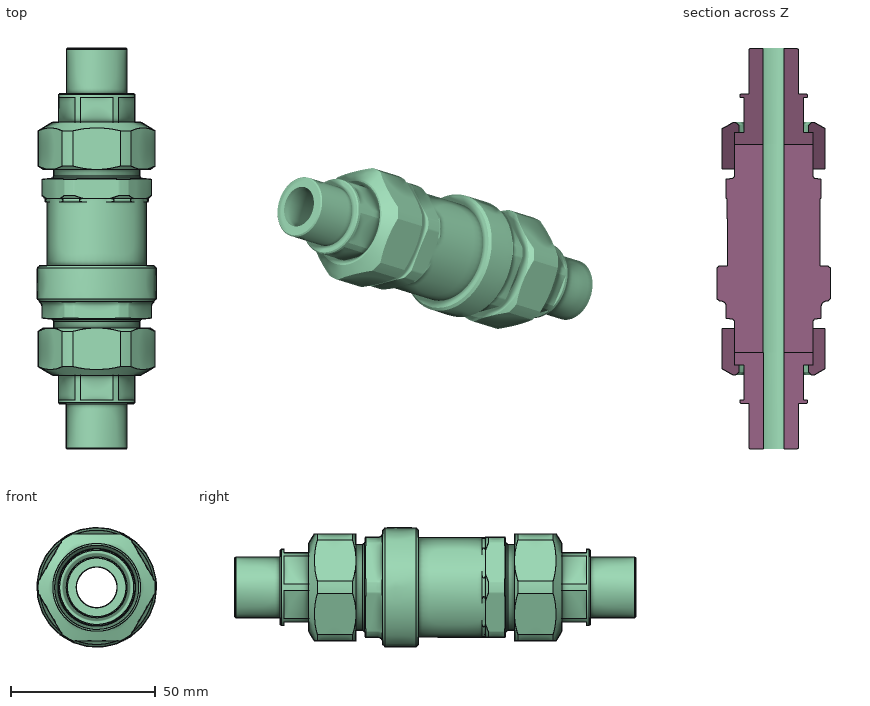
import cadquery as cq
import math

total_length = 138.5
half_length = total_length / 2
bore_diameter = 14.0

pipe_diameter = 21.0
pipe_length = 15.7
pipe_chamfer = 0.4
stub_diameter = 26.5
stub_flange_width = 1.4
stub_flange_chamfer = 0.4
stub_across_flats = 24.0
stub_head_width = 4.2

nut_length = 16.3
nut_across_flats = 37.0
nut_corner_diameter = 40.5
nut_mouth_face_diameter = 30.3
nut_mouth_cone_length = 3.0
nut_rear_face_diameter = 37.1
nut_rear_cone_length = 1.1
nut_mouth_diameter = 26.9
nut_countersink = 1.1
nut_mouth_thickness = 3.6
nut_start = 27.4
nut_end = nut_start + nut_length

barrel_diameter = 34.5
body_across_flats = 34.6
body_corner_diameter = 38.0
body_corner_fillet = 1.4
hex_corner_end = 24.0
hex_face_end = 24.4
neck_diameter = 29.8
neck_root_diameter = 30.7
neck_root_length = 0.7
hex_back = 17.3
hex_back_cone = 1.1
hex_root_length = 1.2
hex_root_height = 0.4
hex_root_across_flats = 33.8
collar_start = 5.8
collar_end = 18.1
collar_middle_diameter = 41.4
collar_rim_diameter = 41.1
collar_chamfer = 0.8
collar_trim_allowance = 1.4
collar_root_fillet = 1.7

stub_head_diameter = neck_diameter
stub_head_outer = nut_end - nut_mouth_thickness
stub_head_inner = stub_head_outer - stub_head_width
stub_flange_outer = half_length - pipe_length
stub_flange_inner = stub_flange_outer - stub_flange_width


def revolve_about_y(profile):
    """Revolve a closed (radius, y) profile about the Y axis."""
    return profile.close().revolve(360, (0, 0, 0), (0, 1, 0))


def cylinder(diameter, y_start, y_end):
    return (
        cq.Workplane("XZ", origin=(0, y_start, 0))
        .circle(diameter / 2)
        .extrude(-(y_end - y_start))
    )


def hexagon(across_flats, y_start, y_end):
    """Hexagonal prism along Y with flats facing up and down."""
    corner_diameter = across_flats / math.cos(math.pi / 6)
    return (
        cq.Workplane("XZ", origin=(0, y_start, 0))
        .polygon(6, corner_diameter)
        .extrude(-(y_end - y_start))
    )


def make_stub():
    """Pipe end with a flange, a hexagon and a head held inside the nut."""
    pipe = cylinder(pipe_diameter, stub_flange_outer, half_length).faces(">Y").chamfer(pipe_chamfer)
    flange = (
        cylinder(stub_diameter, stub_flange_inner, stub_flange_outer)
        .faces(">Y")
        .chamfer(stub_flange_chamfer)
    )
    wrench_section = hexagon(stub_across_flats, stub_head_outer, stub_flange_inner).intersect(
        cylinder(stub_diameter, stub_head_outer, stub_flange_inner)
    )
    head = cylinder(stub_head_diameter, stub_head_inner, stub_head_outer)
    bore = cylinder(bore_diameter, stub_head_inner, half_length)
    return head.union(wrench_section).union(flange).union(pipe).cut(bore)


def make_nut():
    """Hexagonal nut, coned at both ends, that holds the stub head against the body."""
    corner_radius = nut_corner_diameter / 2
    envelope = revolve_about_y(
        cq.Workplane("XY")
        .moveTo(0, nut_start)
        .lineTo(nut_rear_face_diameter / 2, nut_start)
        .lineTo(corner_radius, nut_start + nut_rear_cone_length)
        .lineTo(corner_radius, nut_end - nut_mouth_cone_length)
        .lineTo(nut_mouth_face_diameter / 2, nut_end)
        .lineTo(0, nut_end)
    )
    mouth_radius = nut_mouth_diameter / 2
    opening = revolve_about_y(
        cq.Workplane("XY")
        .moveTo(0, nut_start)
        .lineTo(neck_diameter / 2, nut_start)
        .lineTo(neck_diameter / 2, stub_head_outer)
        .lineTo(mouth_radius, stub_head_outer)
        .lineTo(mouth_radius, nut_end - nut_countersink)
        .lineTo(mouth_radius + nut_countersink, nut_end)
        .lineTo(0, nut_end)
    )
    return envelope.intersect(hexagon(nut_across_flats, nut_start, nut_end)).cut(opening)


def make_body_hexagon(y_start):
    """Prism with rounded corners and a slightly coned end face, from y_start to the neck."""
    corner_radius = body_corner_diameter / 2
    face_radius = neck_root_diameter / 2
    coned_end = revolve_about_y(
        cq.Workplane("XY")
        .moveTo(0, y_start)
        .lineTo(corner_radius, y_start)
        .lineTo(corner_radius, hex_corner_end)
        .lineTo(face_radius, hex_face_end)
        .lineTo(0, hex_face_end)
    )
    return (
        hexagon(body_across_flats, y_start, hex_face_end)
        .intersect(cylinder(body_corner_diameter, y_start, hex_face_end))
        .edges("|Y")
        .fillet(body_corner_fillet)
        .intersect(coned_end)
    )


def make_back_hexagon():
    """Hexagon on the +Y side, its back corners coned off."""
    corner_radius = body_corner_diameter / 2
    envelope = revolve_about_y(
        cq.Workplane("XY")
        .moveTo(0, hex_back)
        .lineTo(corner_radius - hex_back_cone, hex_back)
        .lineTo(corner_radius, hex_back + hex_back_cone)
        .lineTo(corner_radius, hex_face_end)
        .lineTo(0, hex_face_end)
    )
    return make_body_hexagon(hex_back).intersect(envelope)


def make_hexagon_roots():
    """Curved gussets that lead from the back corners of the hexagon down to the barrel."""
    barrel_radius = barrel_diameter / 2
    root_start = hex_back - hex_root_length
    ring = revolve_about_y(
        cq.Workplane("XY")
        .moveTo(0, root_start)
        .lineTo(barrel_radius, root_start)
        .tangentArcPoint((barrel_radius + hex_root_height, hex_back), relative=False)
        .lineTo(0, hex_back)
    )
    return ring.intersect(hexagon(hex_root_across_flats, root_start, hex_back))


def make_collar_section():
    """Collar with a bulged rim and the -Y hexagon, joined by a fillet and trimmed at both rims."""
    middle_radius = collar_middle_diameter / 2
    rim_radius = collar_rim_diameter / 2
    face_radius = rim_radius - collar_chamfer
    envelope = revolve_about_y(
        cq.Workplane("XY")
        .moveTo(0, -collar_start)
        .lineTo(face_radius, -collar_start)
        .lineTo(rim_radius, -collar_start - collar_chamfer)
        .threePointArc(
            (middle_radius, -(collar_start + collar_end) / 2),
            (rim_radius, -collar_end + collar_chamfer),
        )
        .lineTo(face_radius, -collar_end)
        .lineTo(face_radius, -hex_face_end)
        .lineTo(0, -hex_face_end)
    )
    hexagon_end = make_body_hexagon(collar_end).mirror("XZ")
    blank = cylinder(collar_middle_diameter + collar_trim_allowance, -collar_end, -collar_start)
    joined = blank.union(hexagon_end)
    step_face = joined.faces("|Y").faces(">Y[1]").val()
    hexagon_outline = step_face.innerWires()[0].Edges()
    return joined.newObject(hexagon_outline).fillet(collar_root_fillet).intersect(envelope)


def make_neck():
    """Round neck on the +Y end that enters the nut."""
    root_end = hex_face_end + neck_root_length
    return revolve_about_y(
        cq.Workplane("XY")
        .moveTo(0, hex_face_end)
        .lineTo(neck_root_diameter / 2, hex_face_end)
        .lineTo(neck_diameter / 2, root_end)
        .lineTo(neck_diameter / 2, stub_head_inner)
        .lineTo(0, stub_head_inner)
    )


def make_body():
    """Barrel, two hexagons, collar and a neck at each end, bored through."""
    neck = make_neck()
    return (
        cylinder(barrel_diameter, -collar_start, hex_back)
        .union(make_back_hexagon())
        .union(make_hexagon_roots())
        .union(make_collar_section())
        .union(neck)
        .union(neck.mirror("XZ"))
        .cut(cylinder(bore_diameter, -stub_head_inner, stub_head_inner))
    )


body = make_body()
stub = make_stub()
nut = make_nut()
end_parts = []
for turn in (0, 180):
    for part in (stub, nut):
        end_parts.append(part.rotate((0, 0, 0), (0, 0, 1), turn).val())

result = cq.Compound.makeCompound([body.val(), *end_parts])